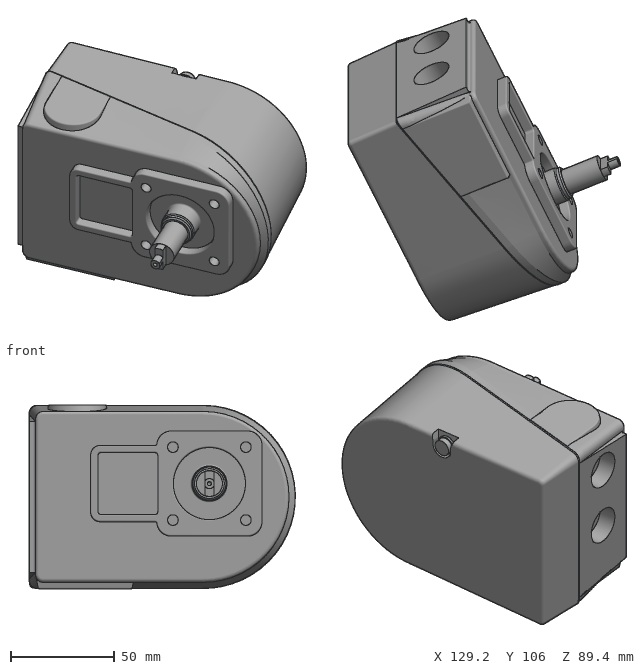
import cadquery as cq
import math


LEFT_X = -87.5
RIGHT_X = 41.7
ROUND_X = -3.0
HALF_HEIGHT = 44.5
PAD_Z = 44.7
BACK_Y = 67.5
BASE_CORNERS = (3.7, 3.7)
COVER_SEAM_CORNERS = (3.7, 2.0)
COVER_BACK_CORNERS = (2.3, 2.0)

SEAM_LEFT_Y = 40.8
SEAM_RIGHT_Y = 10.5
SEAM_SLOPE = (SEAM_LEFT_Y - SEAM_RIGHT_Y) / (RIGHT_X - LEFT_X)
SEAM_ANGLE = math.atan(SEAM_SLOPE)
SEAM_INSET = 0.3
SEAM_BEVEL = 0.6
BAND_WIDTH = 4.7
BAND_LEFT_INSET = 0.4

COVER_DRAFT = 0.06
BACK_FILLET = 2.0
SCREW_X = -23.9
SCREW_Z = 36.4
SCREW_HEAD_DIAMETER = 8.3
SCREW_HEAD_HEIGHT = 3.0
SCREW_FLANGE_DIAMETER = 9.3
NOTCH_DIAMETER = 10.6
NOTCH_DEPTH = 4.3
MOUTH_WIDTH = 12.5
MOUTH_DEPTH = 5.3
MOUTH_HEIGHT = 3.9
MOUTH_TAPER = 15.0

RIM_LEFT_X = -84.4
RIM_RIGHT_X = 38.6
RIM_HALF_HEIGHT = 41.5
RIM_DEPTH = 3.2
RIM_FILLET = 1.7

PAD_DEPTH = 7.8
PAD_TAPER = 12.0
PAD_FILLET = 0.8
TONGUE_X = -64.1
TONGUE_RADIUS = 14.0
LOWER_PAD_LEFT_X = -83.0
LOWER_PAD_RIGHT_X = -37.6
PANEL_REAR_HALF_HEIGHT = 39.9
PANEL_FRONT_HALF_HEIGHT = 36.5
PANEL_THICKNESS = 5.2
PANEL_ROOT_FILLET = 1.0

CONDUIT_DIAMETER = 18.6
CONDUIT_DEPTH = 9.0
CONDUIT_Y = 21.7
CONDUIT_ZS = (25.5, -7.4)

SHAFT_Z = 6.5
PLATE_THICKNESS = 4.9
PLATE_SIDE = 51.0
PLATE_CORNER_RADIUS = 7.0
NECK_LEFT_X = -57.6
NECK_HEIGHT = 37.1
NECK_CORNER_RADIUS = 4.7
NECK_ROOT_FILLET = 0.9
EDGE_FILLET = 0.6
WINDOW_LEFT_X = -54.0
WINDOW_RIGHT_X = -25.1
WINDOW_HEIGHT = 30.0
WINDOW_CORNER_RADIUS = 1.3
RECESS_DIAMETER = 35.0
BOLT_SPACING = 35.4
BOLT_DIAMETER = 5.2
BOLT_DEPTH = 10.3

COLLAR_DIAMETER = 17.0
COLLAR_LENGTH = 8.0
COLLAR_ROOT_FILLET = 0.8
LIP_DIAMETER = 16.0
LIP_START = 8.7
LIP_END = 10.9
LIP_CHAMFER = 0.8
SHAFT_DIAMETER = 12.7
SHAFT_END = 29.7
TANG_DIAMETER = 12.4
TANG_WIDTH = 4.3
TANG_END = 33.6
PIN_DIAMETER = 4.9
PIN_END = 38.5
CENTRE_HOLE_DIAMETER = 2.0
CENTRE_HOLE_DEPTH = 2.0


def seam_y(x):
    """Y of the seam plane at a given X."""
    return SEAM_LEFT_Y - SEAM_SLOPE * (x - LEFT_X)


def seam_plane(shift=0):
    """Plane of the seam, moved along Y, with its origin at the round end's centre."""
    return cq.Plane(
        origin=(ROUND_X, seam_y(ROUND_X) + shift, 0),
        xDir=(math.cos(SEAM_ANGLE), -math.sin(SEAM_ANGLE), 0),
        normal=(math.sin(SEAM_ANGLE), math.cos(SEAM_ANGLE), 0),
    )


def cross_plane(y):
    """Plane square to Y, with its origin at the round end's centre."""
    return cq.Plane(origin=(ROUND_X, y, 0), xDir=(1, 0, 0), normal=(0, 1, 0))


def d_outline(plane, left_x, right_x, round_half, left_half, corners, stretch=1.0):
    """Wire with a rounded right end and two small left corners.

    The X sizes are multiplied by stretch, so that a wire on the slanted
    seam plane keeps its shape when projected along Y. The planes have
    their local Y axis along -Z.
    """
    left = (left_x - ROUND_X) * stretch
    right = (right_x - ROUND_X) * stretch
    upper, lower = corners
    bow = 1 - math.sqrt(0.5)
    return (
        cq.Workplane(plane)
        .moveTo(0, -round_half)
        .ellipseArc(right, round_half, -90, 90, startAtCurrent=True)
        .lineTo(left + lower * stretch, left_half)
        .threePointArc(
            (left + lower * stretch * bow, left_half - lower * bow), (left, left_half - lower)
        )
        .lineTo(left, upper - left_half)
        .threePointArc(
            (left + upper * stretch * bow, upper * bow - left_half), (left + upper * stretch, -left_half)
        )
        .close()
        .val()
    )


def seam_outline(corners, shift=0, inset=0, left_inset=0):
    """Housing outline on the seam plane."""
    half = HALF_HEIGHT - inset
    left_x = LEFT_X + inset + left_inset
    stretch = 1 / math.cos(SEAM_ANGLE)
    return d_outline(seam_plane(shift), left_x, RIGHT_X - inset, half, half, corners, stretch)


def loft(*outlines):
    """Straight-walled solid through a series of outlines."""
    return cq.Workplane(cq.Solid.makeLoft(list(outlines), True))


def cylinder(x, z, diameter, start_y, end_y):
    """Cylinder along Y."""
    length = end_y - start_y
    disc = cq.Solid.makeCylinder(diameter / 2, length, cq.Vector(x, start_y, z), cq.Vector(0, 1, 0))
    return cq.Workplane(disc)



def cover_shell():
    """Block behind the seam, with walls leaning in toward the back."""
    left_draft = COVER_DRAFT * (BACK_Y - SEAM_LEFT_Y)
    round_draft = COVER_DRAFT * (BACK_Y - seam_y(ROUND_X))
    right_draft = COVER_DRAFT * (BACK_Y - SEAM_RIGHT_Y)
    back = d_outline(
        cross_plane(BACK_Y),
        LEFT_X + left_draft,
        RIGHT_X - right_draft,
        HALF_HEIGHT - round_draft,
        HALF_HEIGHT - left_draft,
        COVER_BACK_CORNERS,
    )
    seam = seam_outline(COVER_SEAM_CORNERS, inset=SEAM_INSET)
    return loft(seam, back).faces(">Y").edges().fillet(BACK_FILLET)


def screw_notch():
    """U-shaped notch with a flared mouth in the top rear edge of the cover."""
    floor_y = BACK_Y - NOTCH_DEPTH
    mouth_z = HALF_HEIGHT - COVER_DRAFT * (BACK_Y - seam_y(SCREW_X))
    mouth = (
        cq.Workplane("XY", origin=(SCREW_X, BACK_Y, mouth_z))
        .rect(MOUTH_WIDTH, 2 * MOUTH_DEPTH)
        .extrude(-MOUTH_HEIGHT, taper=MOUTH_TAPER)
        .faces(">Z")
        .wires()
        .toPending()
        .extrude(HALF_HEIGHT - mouth_z)
    )
    clearance = cq.Workplane("XY").box(
        NOTCH_DIAMETER, NOTCH_DEPTH, HALF_HEIGHT - SCREW_Z, centered=(True, False, False)
    )
    clearance = clearance.translate((SCREW_X, floor_y, SCREW_Z))
    round_bottom = cylinder(SCREW_X, SCREW_Z, NOTCH_DIAMETER, floor_y, BACK_Y)
    return clearance.union(round_bottom).union(mouth)


def screw_boss():
    """Screw head on its flange, standing in the notch."""
    floor_y = BACK_Y - NOTCH_DEPTH
    head_y = BACK_Y - SCREW_HEAD_HEIGHT
    flange = cylinder(SCREW_X, SCREW_Z, SCREW_FLANGE_DIAMETER, floor_y, head_y)
    return flange.union(cylinder(SCREW_X, SCREW_Z, SCREW_HEAD_DIAMETER, floor_y, BACK_Y))


def make_cover():
    return cover_shell().cut(screw_notch()).union(screw_boss())



def base_shell():
    """Block in front of the seam: bevel, straight band, taper and rim."""
    rim_size = (RIM_LEFT_X, RIM_RIGHT_X, RIM_HALF_HEIGHT, RIM_HALF_HEIGHT, BASE_CORNERS)
    band_front = seam_outline(BASE_CORNERS, -BAND_WIDTH, left_inset=BAND_LEFT_INSET)
    taper = loft(band_front, d_outline(cross_plane(RIM_DEPTH), *rim_size))
    band_rear = seam_outline(BASE_CORNERS, -SEAM_BEVEL)
    band = loft(band_front, band_rear)
    bevel = loft(band_rear, seam_outline(BASE_CORNERS, inset=SEAM_INSET))
    rim = loft(d_outline(cross_plane(0), *rim_size), d_outline(cross_plane(RIM_DEPTH), *rim_size))
    rim = rim.faces("<Y").edges().fillet(RIM_FILLET)
    return rim.union(taper).union(band).union(bevel)


def pad_limit():
    """Large block filling all space behind the front of the seam bevel."""
    reach = 2 * (RIGHT_X - LEFT_X)
    return cq.Workplane(seam_plane(-SEAM_BEVEL)).rect(reach, reach).extrude(reach)


def upper_tongue():
    """Raised pad on top with a round front end."""
    centre_y = RIM_DEPTH + TONGUE_RADIUS
    return (
        cq.Workplane("XY", origin=(TONGUE_X, 0, PAD_Z))
        .moveTo(-TONGUE_RADIUS, BACK_Y)
        .lineTo(-TONGUE_RADIUS, centre_y)
        .threePointArc((0, RIM_DEPTH), (TONGUE_RADIUS, centre_y))
        .lineTo(TONGUE_RADIUS, BACK_Y)
        .close()
        .extrude(-PAD_DEPTH, taper=-PAD_TAPER)
        .faces(">Z")
        .edges()
        .fillet(PAD_FILLET)
    )


def lower_pad():
    """Raised rectangular pad underneath."""
    width = LOWER_PAD_RIGHT_X - LOWER_PAD_LEFT_X
    return (
        cq.Workplane("XY", origin=(LOWER_PAD_LEFT_X, RIM_DEPTH, -PAD_Z))
        .rect(width, BACK_Y, centered=False)
        .extrude(PAD_DEPTH, taper=-PAD_TAPER)
        .faces("<Z")
        .edges()
        .fillet(PAD_FILLET)
    )


def left_panel():
    """Flat panel on the left wall, narrowing toward the front."""
    return (
        cq.Workplane("YZ", origin=(LEFT_X, 0, 0))
        .polyline([
            (SEAM_LEFT_Y, PANEL_REAR_HALF_HEIGHT),
            (RIM_DEPTH, PANEL_FRONT_HALF_HEIGHT),
            (RIM_DEPTH, -PANEL_FRONT_HALF_HEIGHT),
            (SEAM_LEFT_Y, -PANEL_REAR_HALF_HEIGHT),
        ])
        .close()
        .extrude(PANEL_THICKNESS)
    )


def panel_root():
    """Concave fillet bar joining the panel's front end to the rim."""
    outer_x = RIM_LEFT_X - PANEL_ROOT_FILLET
    front_y = RIM_DEPTH - PANEL_ROOT_FILLET
    bow = PANEL_ROOT_FILLET * math.sqrt(0.5)
    return (
        cq.Workplane("XY")
        .moveTo(outer_x, RIM_DEPTH)
        .threePointArc((outer_x + bow, front_y + bow), (RIM_LEFT_X, front_y))
        .lineTo(RIM_LEFT_X + PANEL_ROOT_FILLET, front_y)
        .lineTo(RIM_LEFT_X + PANEL_ROOT_FILLET, RIM_DEPTH)
        .close()
        .extrude(PANEL_FRONT_HALF_HEIGHT, both=True)
    )


def conduit_holes():
    """Two blind holes in the left panel."""
    return (
        cq.Workplane("YZ", origin=(LEFT_X, 0, 0))
        .pushPoints([(CONDUIT_Y, z) for z in CONDUIT_ZS])
        .circle(CONDUIT_DIAMETER / 2)
        .extrude(CONDUIT_DEPTH)
    )


def front_plate(left_x, right_x, height):
    """Rectangular plate on the front face, centred on the shaft height."""
    centre_x = (left_x + right_x) / 2
    plate = cq.Workplane("XY").box(right_x - left_x, PLATE_THICKNESS, height)
    return plate.translate((centre_x, -PLATE_THICKNESS / 2, SHAFT_Z))


def mounting_plate():
    """Square plate with a narrower neck, a window and a round recess."""
    half_side = PLATE_SIDE / 2
    square = front_plate(-half_side, half_side, PLATE_SIDE).edges("|Y").fillet(PLATE_CORNER_RADIUS)
    neck = front_plate(NECK_LEFT_X, 0, NECK_HEIGHT).edges("|Y and <X").fillet(NECK_CORNER_RADIUS)
    window = front_plate(WINDOW_LEFT_X, WINDOW_RIGHT_X, WINDOW_HEIGHT)
    window = window.edges("|Y").fillet(WINDOW_CORNER_RADIUS)
    recess = cylinder(0, SHAFT_Z, RECESS_DIAMETER, -PLATE_THICKNESS, 0)
    plate = square.union(neck)
    for root_z in (SHAFT_Z - NECK_HEIGHT / 2, SHAFT_Z + NECK_HEIGHT / 2):
        neck_root = cq.selectors.NearestToPointSelector((-half_side, -PLATE_THICKNESS / 2, root_z))
        plate = plate.edges("|Y").edges(neck_root).fillet(NECK_ROOT_FILLET)
    plate = plate.cut(window).cut(recess)
    return plate.faces("<Y").edges().fillet(EDGE_FILLET)


def bolt_holes():
    """Four blind holes around the shaft."""
    holes = cq.Workplane("XY")
    for x in (-BOLT_SPACING / 2, BOLT_SPACING / 2):
        for z in (-BOLT_SPACING / 2, BOLT_SPACING / 2):
            end_y = BOLT_DEPTH - PLATE_THICKNESS
            holes = holes.union(cylinder(x, SHAFT_Z + z, BOLT_DIAMETER, -PLATE_THICKNESS, end_y))
    return holes


def turned_shaft():
    """Collar, lip, shaft, tang and pin as one turned profile."""
    collar = COLLAR_DIAMETER / 2
    lip = LIP_DIAMETER / 2
    fillet_bow = COLLAR_ROOT_FILLET * (1 - math.sqrt(0.5))
    return (
        cq.Workplane("XY")
        .moveTo(0, RIM_DEPTH)
        .lineTo(collar + COLLAR_ROOT_FILLET, RIM_DEPTH)
        .lineTo(collar + COLLAR_ROOT_FILLET, 0)
        .threePointArc((collar + fillet_bow, -fillet_bow), (collar, -COLLAR_ROOT_FILLET))
        .lineTo(collar, -COLLAR_LENGTH)
        .lineTo(lip, -LIP_START)
        .lineTo(lip, LIP_CHAMFER - LIP_END)
        .lineTo(lip - LIP_CHAMFER, -LIP_END)
        .lineTo(SHAFT_DIAMETER / 2, -LIP_END)
        .lineTo(SHAFT_DIAMETER / 2, -SHAFT_END)
        .lineTo(TANG_DIAMETER / 2, -SHAFT_END)
        .lineTo(TANG_DIAMETER / 2, -TANG_END)
        .lineTo(PIN_DIAMETER / 2, -TANG_END)
        .lineTo(PIN_DIAMETER / 2, -PIN_END)
        .lineTo(0, -PIN_END)
        .close()
        .revolve(360, (0, 0, 0), (0, 1, 0))
    )


def tang_flats():
    """Material removed on both sides of the tang and the pin."""
    length = PIN_END - SHAFT_END
    side_x = (TANG_WIDTH + SHAFT_DIAMETER) / 2
    sides = cq.Workplane("XY", origin=(0, -SHAFT_END - length / 2, 0))
    sides = sides.pushPoints([(-side_x, 0), (side_x, 0)])
    return sides.box(SHAFT_DIAMETER, length, SHAFT_DIAMETER)


def centre_hole():
    """Conical centre hole in the end of the pin."""
    return cq.Workplane(
        cq.Solid.makeCone(
            CENTRE_HOLE_DIAMETER / 2, 0, CENTRE_HOLE_DEPTH, cq.Vector(0, -PIN_END, 0), cq.Vector(0, 1, 0)
        )
    )


def make_shaft():
    shaft = turned_shaft().cut(tang_flats()).cut(centre_hole())
    return shaft.translate((0, 0, SHAFT_Z))


def make_base():
    pads = upper_tongue().union(lower_pad()).union(left_panel()).cut(pad_limit())
    housing = base_shell().union(pads).union(panel_root()).union(mounting_plate())
    return housing.cut(conduit_holes()).cut(bolt_holes()).union(make_shaft())


cover = make_cover()
base = make_base()

result = cq.Compound.makeCompound([cover.solids().val(), base.solids().val()])